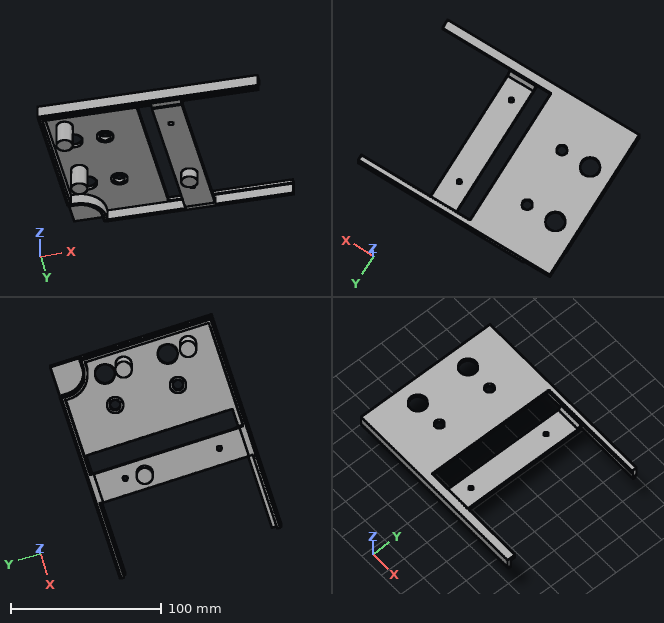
import cadquery as cq

length = 150.0
width = 113.0
height = 19.0

plate_thickness = 2.8
wall = 3.0
wall_depth = 9.0
rim_depth = 10.8
rim_inset = 1.0
wall_bottom = height - wall_depth
rim_bottom = height - rim_depth
plate_bottom = height - plate_thickness

opening_start = 65.1
front_arm = 6.7
back_arm = 4.0

recess_size = 20.4
recess_radius = 14.2
recess_top = height - 5.7

strip_start = 76.8
strip_width = 20.4
strip_bottom = 7.2
strip_top = 10.2
strip_end_inset = 5.5
ramp_rise = 3.1
front_ramp_run = 3.1
back_ramp_foot = 6.0
back_ramp_run = 2.4

large_hole_diameter = 13.2
small_hole_diameter = 7.0
strip_hole_diameter = 3.1
large_hole_x = 16.2
small_hole_x = 38.2
plate_hole_rows = (36.0, 79.9)
strip_hole_x = 86.0
strip_hole_rows = (22.6, 88.5)
collar_diameter = 11.0
collar_depth = 0.6
pin_diameter = 11.0
plate_pin_x = 14.0
plate_pin_rows = (21.0, 66.1)
strip_pin_x = 87.0
strip_pin_y = 75.1


def block(x0, x1, y0, y1, z0, z1):
    return cq.Workplane("XY").box(x1 - x0, y1 - y0, z1 - z0, centered=False).translate((x0, y0, z0))


def cylinder(x, y, diameter, z0, z1):
    return cq.Workplane("XY").workplane(offset=z0).center(x, y).circle(diameter / 2).extrude(z1 - z0)


def corner_block(growth, z0, z1):
    """Corner block with a rounded inner edge; growth offsets it into the tray."""
    size = recess_size + growth
    corner = block(0, size, width - size, width, z0, z1)
    return corner.edges("|Z and >X and <Y").fillet(recess_radius + growth)


def make_tray():
    outer = block(0, length, 0, width, wall_bottom, height)
    rim = block(rim_inset, length, rim_inset, width - rim_inset, rim_bottom, wall_bottom)
    cavity = block(wall, length, wall, width - wall, rim_bottom, plate_bottom)
    opening = block(opening_start, length, front_arm, width - back_arm, rim_bottom, height)
    tray = outer.union(rim).cut(cavity).cut(opening)

    recess_lining = corner_block(wall, rim_bottom, plate_bottom)
    recess_lining = recess_lining.intersect(outer.union(rim))
    tray = tray.union(recess_lining)
    tray = tray.cut(corner_block(0, wall_bottom, recess_top))
    return tray.cut(corner_block(rim_inset, rim_bottom, wall_bottom))


def make_strip():
    ramp_top = strip_top + ramp_rise
    back_foot_y = width - back_ramp_foot
    profile = [
        (strip_end_inset, strip_bottom),
        (width - strip_end_inset, strip_bottom),
        (width - strip_end_inset, rim_bottom),
        (width - wall, rim_bottom),
        (width - wall, ramp_top),
        (back_foot_y + back_ramp_run, ramp_top),
        (back_foot_y, strip_top),
        (front_arm + front_ramp_run, strip_top),
        (front_arm, ramp_top),
        (wall, ramp_top),
        (wall, rim_bottom),
        (strip_end_inset, rim_bottom),
    ]
    strip = cq.Workplane("YZ").polyline(profile).close().extrude(strip_width)
    return strip.translate((strip_start, 0, 0))


result = make_tray().union(make_strip())

for pin_y in plate_pin_rows:
    result = result.union(cylinder(plate_pin_x, pin_y, pin_diameter, 0, plate_bottom))
result = result.union(cylinder(strip_pin_x, strip_pin_y, pin_diameter, 0, strip_bottom))

collar_bottom = plate_bottom - collar_depth
for hole_y in plate_hole_rows:
    result = result.union(cylinder(small_hole_x, hole_y, collar_diameter, collar_bottom, plate_bottom))
    result = result.cut(cylinder(large_hole_x, hole_y, large_hole_diameter, 0, height))
    result = result.cut(cylinder(small_hole_x, hole_y, small_hole_diameter, 0, height))
for hole_y in strip_hole_rows:
    result = result.cut(cylinder(strip_hole_x, hole_y, strip_hole_diameter, 0, height))